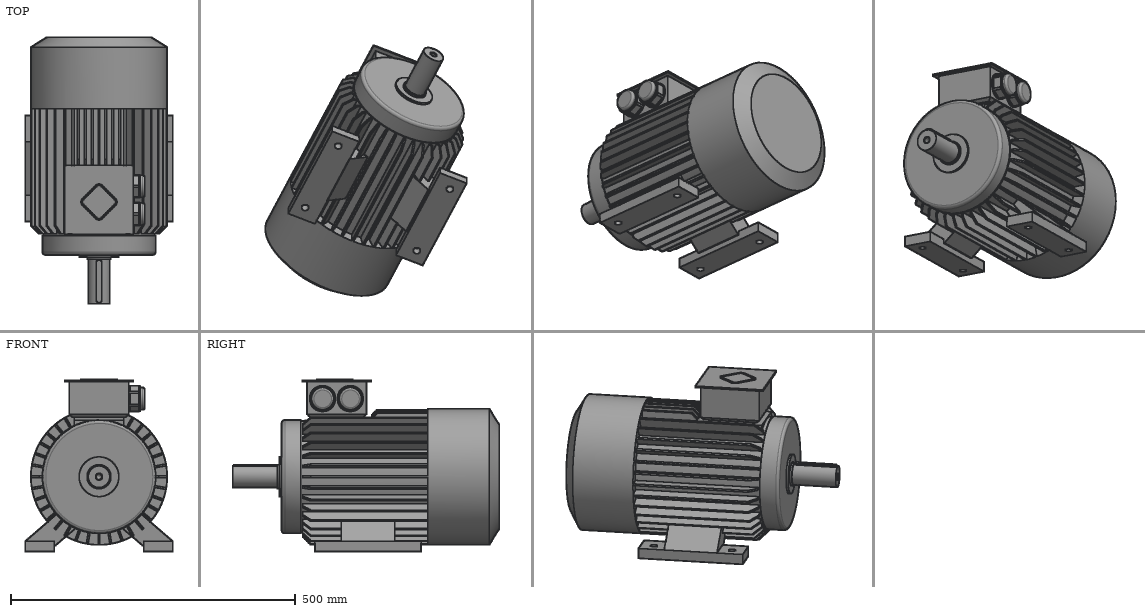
import cadquery as cq
import math


total_length = 469.0
collar_y = 78.5
boss_y = 82.0
bell_y = 86.0
bell_back_y = 120.0
cowl_y = 343.5
cowl_taper_y = 451.5

shaft_diameter = 38.0
collar_diameter = 42.0
boss_diameter = 70.0
bell_diameter = 200.0
bell_edge_radius = 5.5
key_width = 10.0
key_start_y = 2.0
key_end_y = 77.5
key_top_z = 21.0
center_hole_diameter = 10.5
center_hole_mouth_diameter = 12.0
center_hole_depth = 18.8
drill_point_angle = 118.0

core_diameter = 197.0
cowl_diameter = 240.0
cowl_end_diameter = 184.0
fin_thickness = 3.5
fin_start_y = 123.0
fin_end_chamfer = 14.5
fin_pitch_angle = 10
fin_overlap = 4.5
first_fin_angle = 120
last_fin_angle = 420

saddle_width = 86.5
saddle_top_z = 99.0
saddle_start_y = 127.5
pedestal_length = 79.5
upright_fin_count = 7
upright_fin_pitch = 12.0
upright_fin_radius = 118.0
upright_fin_start_y = 245.0
upright_fin_chamfer = 9.5

box_center_y = 183.0
box_side = 105.0
box_bottom_z = 104.5
box_bottom_chamfer = 5.5
lid_side = 121.0
lid_bottom_z = 167.0
lid_top_z = 170.0
badge_center_y = 179.0
badge_side = 49.2
badge_corner_radius = 7.5
badge_height = 1.5
badge_rim = 2.5
badge_recess = 1.0

gland_pitch = 49.0
glands_center_y = 182.5
gland_z = 137.5
gland_diameter = 45.5
gland_washer_length = 3.0
gland_nut_flats = 41.5
gland_nut_length = 17.5
gland_nut_taper_length = 3.0
gland_nut_taper_depth = 1.0
gland_cap_diameter = 39.5
gland_cap_length = 8.0
gland_cap_radius = 4.0

feet_width = 260.0
feet_bottom_z = -132.0
foot_width = 51.5
foot_height = 18.5
foot_start_y = 144.5
foot_length = 187.0
leg_length = 94.7
leg_slope = 0.86
leg_toe_width = 2.0
leg_toe_depth = 7.5
foot_hole_diameter = 12.0
foot_hole_inset = 22.0
foot_hole_pitch = 140.0

core_radius = core_diameter / 2
cowl_radius = cowl_diameter / 2


def block(x_size, y_start, y_end, z_bottom, z_top):
    """Box centered on x = 0 between the given Y and Z limits."""
    return (
        cq.Workplane("XY")
        .box(x_size, y_end - y_start, z_top - z_bottom, centered=(True, False, False))
        .translate((0, y_start, z_bottom))
    )


def make_round_body():
    """Shaft, collar, boss, end bell, core and cowl as one turned profile."""
    profile = [
        (0, 0),
        (shaft_diameter / 2, 0),
        (shaft_diameter / 2, collar_y),
        (collar_diameter / 2, collar_y),
        (collar_diameter / 2, boss_y),
        (boss_diameter / 2, boss_y),
        (boss_diameter / 2, bell_y),
        (bell_diameter / 2 - bell_edge_radius, bell_y),
    ]
    bell_corner = (bell_diameter / 2, bell_y + bell_edge_radius)
    return (
        cq.Workplane("XY")
        .polyline(profile)
        .radiusArc(bell_corner, -bell_edge_radius)
        .lineTo(bell_diameter / 2, bell_back_y)
        .lineTo(core_radius, bell_back_y)
        .lineTo(core_radius, cowl_y)
        .lineTo(cowl_radius, cowl_y)
        .lineTo(cowl_radius, cowl_taper_y)
        .lineTo(cowl_end_diameter / 2, total_length)
        .lineTo(0, total_length)
        .close()
        .revolve(360, (0, 0, 0), (0, 1, 0))
    )


def make_fin_envelope(radius, y_start, chamfer):
    """Cylinder with a chamfered front edge that limits the outside of a set of fins."""
    return (
        cq.Workplane("XZ", origin=(0, y_start, 0))
        .circle(radius)
        .extrude(y_start - cowl_y)
        .faces("<Y")
        .chamfer(chamfer)
    )


def make_radial_fins():
    """Fins around the body, leaving out the saddle at the top."""
    root_z = core_radius - fin_overlap
    fin = block(fin_thickness, fin_start_y, cowl_y, root_z, cowl_radius + fin_overlap)
    fins = cq.Workplane("XY")
    for angle in range(first_fin_angle, last_fin_angle + 1, fin_pitch_angle):
        fins = fins.add(fin.rotate((0, 0, 0), (0, 1, 0), 90 - angle))
    return fins.combine().intersect(make_fin_envelope(cowl_radius, fin_start_y, fin_end_chamfer))


def make_upright_fins():
    """Parallel fins standing on the saddle behind the terminal box."""
    fin = block(fin_thickness, upright_fin_start_y, cowl_y, saddle_top_z - fin_overlap, cowl_radius)
    fins = cq.Workplane("XY")
    for index in range(upright_fin_count):
        offset = (index - (upright_fin_count - 1) / 2) * upright_fin_pitch
        fins = fins.add(fin.translate((offset, 0, 0)))
    envelope = make_fin_envelope(upright_fin_radius, upright_fin_start_y, upright_fin_chamfer)
    return fins.combine().intersect(envelope)


def make_saddle():
    """Flat-topped pad under the upright fins, with a pedestal that carries the box."""
    pad = block(saddle_width, saddle_start_y, cowl_y, 0, saddle_top_z)
    pedestal = block(
        saddle_width,
        box_center_y - pedestal_length / 2,
        box_center_y + pedestal_length / 2,
        0,
        box_bottom_z,
    )
    return pad.union(pedestal)


def make_badge():
    """Rounded diamond on the lid with a raised rim."""
    floor_side = badge_side - 2 * badge_rim
    badge = cq.Workplane("XY").rect(badge_side, badge_side).extrude(badge_height)
    badge = badge.edges("|Z").fillet(badge_corner_radius)
    recess = cq.Workplane("XY").rect(floor_side, floor_side).extrude(badge_recess)
    recess = recess.edges("|Z").fillet(badge_corner_radius - badge_rim)
    badge = badge.cut(recess.translate((0, 0, badge_height - badge_recess)))
    return badge.rotate((0, 0, 0), (0, 0, 1), 45).translate((0, badge_center_y, lid_top_z))


def make_terminal_box():
    """Box with a chamfered bottom edge, lid and badge."""
    box = block(
        box_side,
        box_center_y - box_side / 2,
        box_center_y + box_side / 2,
        box_bottom_z,
        lid_bottom_z,
    )
    box = box.faces("<Z").chamfer(box_bottom_chamfer)
    lid = block(
        lid_side,
        box_center_y - lid_side / 2,
        box_center_y + lid_side / 2,
        lid_bottom_z,
        lid_top_z,
    )
    return box.union(lid).union(make_badge())


def make_gland():
    """Cable gland along +X from the origin: washer, hexagonal nut and rounded cap."""
    nut_end = gland_washer_length + gland_nut_length
    washer = cq.Workplane("YZ").circle(gland_diameter / 2).extrude(gland_washer_length)
    corner_diameter = gland_nut_flats / math.cos(math.radians(30))
    nut = (
        cq.Workplane("YZ")
        .polygon(6, corner_diameter)
        .extrude(nut_end)
        .rotate((0, 0, 0), (1, 0, 0), 90)
    )
    nut_envelope = cq.Workplane("YZ").circle(gland_diameter / 2).extrude(nut_end)
    nut = nut.faces(">X").chamfer(gland_nut_taper_length, gland_nut_taper_depth)
    nut_envelope = nut_envelope.faces(">X").chamfer(gland_nut_taper_length, gland_nut_taper_depth)
    nut = nut.intersect(nut_envelope)
    cap = cq.Workplane("YZ").circle(gland_cap_diameter / 2).extrude(nut_end + gland_cap_length)
    cap = cap.faces(">X").edges().fillet(gland_cap_radius)
    return washer.union(nut).union(cap)


def make_foot():
    """Foot on the +X side: drilled base block and a sloping leg up to the core."""
    outer_x = feet_width / 2
    inner_x = outer_x - foot_width
    foot_top_z = feet_bottom_z + foot_height
    foot_middle_y = foot_start_y + foot_length / 2
    base = block(foot_width, foot_start_y, foot_start_y + foot_length, feet_bottom_z, foot_top_z)
    base = base.translate((outer_x - foot_width / 2, 0, 0))

    toe_x = inner_x - leg_toe_width
    toe_z = foot_top_z - leg_toe_depth
    leg_rise = core_radius / 2
    leg_run = leg_rise / leg_slope
    leg = (
        cq.Workplane("XZ", origin=(0, foot_middle_y + leg_length / 2, 0))
        .polyline([
            (outer_x, foot_top_z),
            (outer_x - leg_run, foot_top_z + leg_rise),
            (toe_x - leg_run, toe_z + leg_rise),
            (toe_x, toe_z),
            (inner_x, toe_z),
            (inner_x, foot_top_z),
        ])
        .close()
        .extrude(leg_length)
    )
    holes = (
        cq.Workplane("XY", origin=(outer_x - foot_hole_inset, foot_middle_y, feet_bottom_z))
        .rarray(4.5, foot_hole_pitch, 1, 2)
        .circle(foot_hole_diameter / 2)
        .extrude(foot_height)
    )
    return base.union(leg).cut(holes)


def make_key():
    """Round-ended key standing in the top of the shaft."""
    key_length = key_end_y - key_start_y
    return (
        cq.Workplane("XY", origin=(0, (key_start_y + key_end_y) / 2, 0))
        .slot2D(key_length, key_width, 90)
        .extrude(key_top_z)
    )


def make_center_hole():
    """Drilled hole in the shaft end with a small countersink and a drill point."""
    radius = center_hole_diameter / 2
    mouth_radius = center_hole_mouth_diameter / 2
    point_length = radius / math.tan(math.radians(drill_point_angle / 2))
    return (
        cq.Workplane("XY")
        .polyline([
            (0, 0),
            (mouth_radius, 0),
            (radius, mouth_radius - radius),
            (radius, center_hole_depth),
            (0, center_hole_depth + point_length),
        ])
        .close()
        .revolve(360, (0, 0, 0), (0, 1, 0))
    )


result = make_round_body()
result = result.union(make_radial_fins())
result = result.union(make_saddle())
result = result.union(make_upright_fins())
result = result.union(make_terminal_box())

gland = make_gland()
for side in (-1, 1):
    gland_place = (box_side / 2, glands_center_y + side * gland_pitch / 2, gland_z)
    result = result.union(gland.translate(gland_place))

foot = make_foot()
result = result.union(foot).union(foot.mirror("YZ"))
result = result.union(make_key())
result = result.cut(make_center_hole())